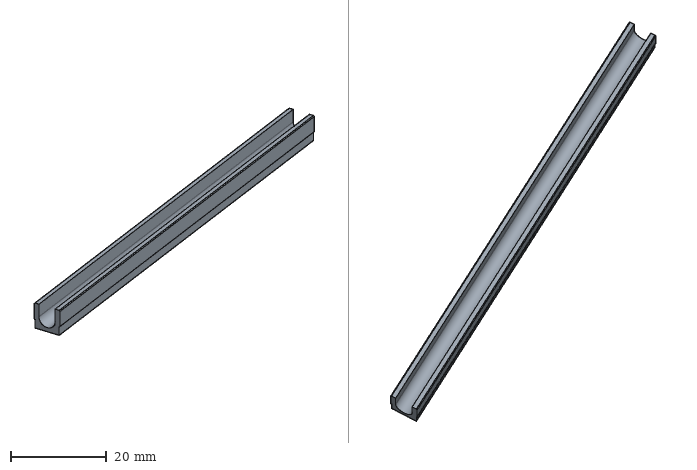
import cadquery as cq

length = 100.0
height = 6.0
wall_width = 6.4

base_width = 6.0
base_height = 2.0
wall_foot_height = base_height + (wall_width - base_width) / 2
rim_bevel = 0.2

channel_width = 4.0
floor_thickness = 1.0
channel_radius = channel_width / 2
channel_center_height = floor_thickness + channel_radius

profile = (
    cq.Workplane("XZ", origin=(0, length / 2, 0))
    .moveTo(-base_width / 2, 0)
    .lineTo(base_width / 2, 0)
    .lineTo(base_width / 2, base_height)
    .lineTo(wall_width / 2, wall_foot_height)
    .lineTo(wall_width / 2, height - rim_bevel)
    .lineTo(wall_width / 2 - rim_bevel, height)
    .lineTo(channel_radius, height)
    .lineTo(channel_radius, channel_center_height)
    .threePointArc((0, floor_thickness), (-channel_radius, channel_center_height))
    .lineTo(-channel_radius, height)
    .lineTo(-wall_width / 2 + rim_bevel, height)
    .lineTo(-wall_width / 2, height - rim_bevel)
    .lineTo(-wall_width / 2, wall_foot_height)
    .lineTo(-base_width / 2, base_height)
    .close()
)

result = profile.extrude(length)